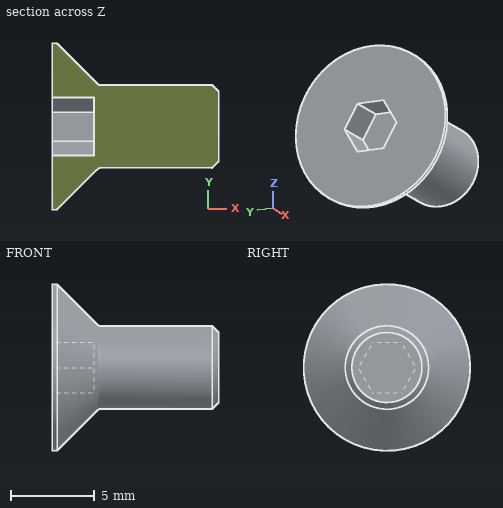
import cadquery as cq
import math

length = 10.0
head_diameter = 10.0
shank_diameter = 5.0
rim_thickness = 0.3
neck_radius = 0.2
tip_chamfer = 0.4
cone_angle = math.radians(45)
socket_sides = 6
socket_flats = 3.0
socket_depth = 2.5

head_radius = head_diameter / 2
shank_radius = shank_diameter / 2
head_height = rim_thickness + (head_radius - shank_radius) / math.tan(cone_angle)


def screw_body():
    """Revolved head and shank; profile points are (x, radius)."""
    half_turn = cone_angle / 2
    neck_tangent = neck_radius * math.tan(half_turn)
    cone_tangent_offset = neck_tangent * math.sin(cone_angle)
    arc_end_x = head_height + neck_tangent
    arc_mid = (
        arc_end_x - neck_radius * math.sin(half_turn),
        shank_radius + neck_radius * (1 - math.cos(half_turn)),
    )
    return (
        cq.Workplane("XY")
        .lineTo(0, head_radius)
        .lineTo(rim_thickness, head_radius)
        .lineTo(head_height - cone_tangent_offset, shank_radius + cone_tangent_offset)
        .threePointArc(arc_mid, (arc_end_x, shank_radius))
        .lineTo(length - tip_chamfer, shank_radius)
        .lineTo(length, shank_radius - tip_chamfer)
        .lineTo(length, 0)
        .close()
        .revolve(360, (0, 0, 0), (1, 0, 0))
    )


def hex_socket():
    """Flat-bottomed hexagon with two corners on the Y axis."""
    corner_diameter = socket_flats / math.cos(math.pi / socket_sides)
    return cq.Workplane("YZ").polygon(socket_sides, corner_diameter).extrude(socket_depth)


result = screw_body().cut(hex_socket())